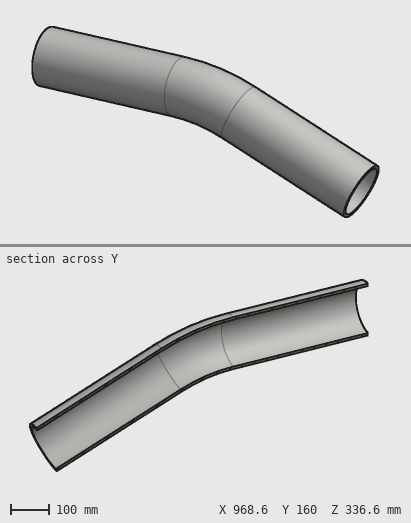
import cadquery as cq
import math

outer_diameter = 160.0
inner_diameter = 141.0

bend_angle = 22.0
bend_radius = 3 * outer_diameter

arm_length = 487.065
bend_tangent = bend_radius * math.tan(math.radians(bend_angle / 2))
straight_length = arm_length - bend_tangent


def pipe_ring(plane):
    """Annular pipe section centred on the origin of the plane."""
    return cq.Workplane(plane).circle(outer_diameter / 2).circle(inner_diameter / 2)


def straight_pipe(plane):
    """Straight pipe running from the plane along its normal."""
    return pipe_ring(plane).extrude(straight_length)


def bend_pipe(plane):
    """Pipe bend starting on the plane, curving about an axis below it."""
    axis_start = (-1, -bend_radius)
    axis_end = (1, -bend_radius)
    return pipe_ring(plane).revolve(bend_angle, axis_start, axis_end)


turn = math.radians(bend_angle)
inlet_plane = cq.Plane(origin=(0, 0, 0), xDir=(0, 1, 0), normal=(1, 0, 0))
bend_start_plane = cq.Plane(origin=(straight_length, 0, 0), xDir=(0, 1, 0), normal=(1, 0, 0))
bend_end_plane = cq.Plane(
    origin=(
        straight_length + bend_radius * math.sin(turn),
        0,
        -bend_radius * (1 - math.cos(turn)),
    ),
    xDir=(0, 1, 0),
    normal=(math.cos(turn), 0, -math.sin(turn)),
)

inlet_arm = straight_pipe(inlet_plane)
bend = bend_pipe(bend_start_plane)
outlet_arm = straight_pipe(bend_end_plane)

result = inlet_arm.union(bend).union(outlet_arm)